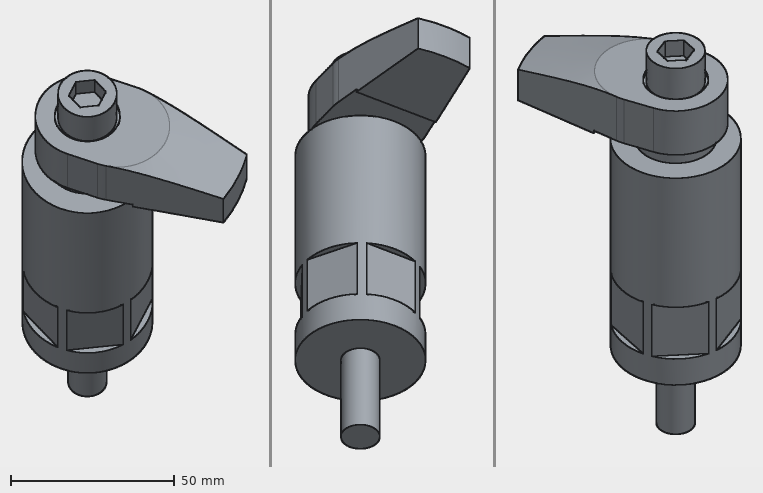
import cadquery as cq
import math

total_height = 144.0
shank_projection = 30.0
flange_height = 10.1
flats_height = 20.0
barrel_height = 50.0
neck_height = 5.9
lever_height = 17.0

flats_bottom = shank_projection + flange_height
barrel_bottom = flats_bottom + flats_height
barrel_top = barrel_bottom + barrel_height
lever_bottom = barrel_top + neck_height
lever_top = lever_bottom + lever_height

housing_diameter = 40.0
across_flats = 36.0
flat_count = 6
neck_diameter = 25.0

shank_diameter = 12.0
head_diameter = 18.0
socket_sides = 6
socket_across_flats = 10.0
socket_depth = 6.0

boss_radius = 16.0
boss_length = 10.0
tip_radius = 50.0
taper_angle = math.radians(10)
tip_drop = 6.0
pad_start = 21.0
pad_depth = 1.0
recess_diameter = 20.0
recess_depth = 1.0

head_bottom = lever_top - recess_depth


def cylinder(diameter, bottom, top):
    return cq.Workplane("XY").workplane(offset=bottom).circle(diameter / 2).extrude(top - bottom)


def make_housing():
    """Round housing with wrench flats, a neck and a through bore for the screw."""
    body = cylinder(housing_diameter, shank_projection, barrel_top)
    flat_depth = (housing_diameter - across_flats) / 2
    flat_cutter = cq.Workplane("XY").box(
        flat_depth, housing_diameter, flats_height, centered=(False, True, False)
    ).translate((across_flats / 2, 0, flats_bottom))
    for index in range(flat_count):
        angle = index * 360 / flat_count
        body = body.cut(flat_cutter.rotate((0, 0, 0), (0, 0, 1), angle))
    neck = cylinder(neck_diameter, barrel_top, lever_bottom)
    bore = cylinder(shank_diameter, shank_projection, lever_bottom)
    return body.union(neck).cut(bore)


def lever_outline(bottom):
    """Rounded boss whose far end runs tangentially into a tapered arm."""
    tangent_x = boss_length + boss_radius * math.sin(taper_angle)
    tangent_y = boss_radius * math.cos(taper_angle)
    half_angle = taper_angle / 2
    arc_x = boss_length + boss_radius * math.sin(half_angle)
    arc_y = boss_radius * math.cos(half_angle)

    side_distance = boss_radius + boss_length * math.sin(taper_angle)
    tip_angle = math.pi / 2 - taper_angle - math.acos(side_distance / tip_radius)
    tip_x = tip_radius * math.cos(tip_angle)
    tip_y = tip_radius * math.sin(tip_angle)

    return (
        cq.Workplane("XY").workplane(offset=bottom)
        .moveTo(0, -boss_radius)
        .lineTo(boss_length, -boss_radius)
        .threePointArc((arc_x, -arc_y), (tangent_x, -tangent_y))
        .lineTo(tip_x, -tip_y)
        .threePointArc((tip_radius, 0), (tip_x, tip_y))
        .lineTo(tangent_x, tangent_y)
        .threePointArc((arc_x, arc_y), (boss_length, boss_radius))
        .lineTo(0, boss_radius)
        .threePointArc((-boss_radius, 0), (0, -boss_radius))
        .close()
    )


def conical_top_cutter():
    """Half ring that slopes the top of the arm away from the rounded boss end."""
    slope = tip_drop / (tip_radius - boss_length - boss_radius)
    outer_radius = tip_radius
    outer_drop = slope * (outer_radius - boss_radius)
    half_ring = (
        cq.Workplane("XZ")
        .moveTo(boss_radius, lever_top)
        .lineTo(outer_radius, lever_top)
        .lineTo(outer_radius, lever_top - outer_drop)
        .close()
        .revolve(180, (0, 0, 0), (0, 1, 0))
    )
    return half_ring.rotate((0, 0, 0), (0, 0, 1), -90).translate((boss_length, 0, 0))


def make_lever():
    """Clamping lever with a sloping arm, a lowered underside and a recess for the head."""
    pad_bottom = lever_bottom - pad_depth
    lever = lever_outline(pad_bottom).extrude(lever_top - pad_bottom)
    clearance_length = boss_radius + pad_start
    clearance = cq.Workplane("XY").box(
        clearance_length, 2 * boss_radius, pad_depth, centered=(False, True, False)
    ).translate((-boss_radius, 0, pad_bottom))
    bore = cylinder(shank_diameter, lever_bottom, lever_top)
    recess = cylinder(recess_diameter, head_bottom, lever_top)
    return lever.cut(clearance).cut(conical_top_cutter()).cut(bore).cut(recess)


def make_screw():
    """Screw running through housing and lever, with a hexagon socket in its head."""
    shank = cylinder(shank_diameter, 0, head_bottom)
    head = cylinder(head_diameter, head_bottom, total_height)
    socket_diameter = socket_across_flats / math.cos(math.pi / socket_sides)
    socket = (
        cq.Workplane("XY").workplane(offset=total_height - socket_depth)
        .polygon(socket_sides, socket_diameter)
        .extrude(socket_depth)
        .rotate((0, 0, 0), (0, 0, 1), 90)
    )
    return shank.union(head).cut(socket)


housing = make_housing()
lever = make_lever()
screw = make_screw()

result = cq.Compound.makeCompound([housing.solids().val(), lever.solids().val(), screw.solids().val()])